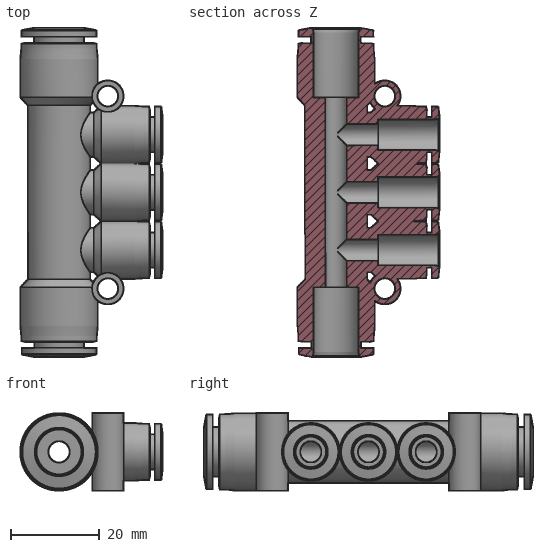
import cadquery as cq

run_half_length = 37.1
run_tube_radius = 7.05
run_body_radius = 8.75
run_body_end_radius = 8.5
run_neck_radius = 5.65
run_ring_radius = 8.45
run_cone_start = 19.6
run_body_start = 21.4
run_taper_start = 30.05
run_band_start = 32.35
run_body_end = 33.7
run_ring_width = 2.1
run_ring_face_rise = 0.5

branch_count = 3
branch_pitch = 13.0
branch_length = 23.4
branch_stub_radius = 5.05
branch_body_radius = 6.5
branch_body_end_radius = 6.4
branch_neck_radius = 4.0
branch_ring_radius = 6.4
branch_cone_start = 7.9
branch_body_start = 9.5
branch_taper_start = 17.1
branch_band_start = 19.1
branch_body_end = 20.5
branch_ring_width = 1.85
branch_ring_face_rise = 0.3

body_end_bevel_depth = 0.2
body_end_bevel_width = 0.9
ring_rim_chamfer = 0.2
ring_wall = 0.6
mouth_chamfer_depth = 0.4
mouth_chamfer_width = 0.3
lead_in_depth = 0.75
lead_in_width = 0.15
mouth_flare = mouth_chamfer_width + lead_in_width
bore_radius = 2.4
run_socket_radius = run_neck_radius - ring_wall
branch_socket_radius = branch_neck_radius - ring_wall

sleeve_x = 11.0
sleeve_y = 21.7
sleeve_radius = 3.55
sleeve_hole_radius = 2.3


def revolve_about(axis, profile):
    """Revolve (distance, radius) points around +X, +Y or -Y, starting at the origin."""
    x_direction, normal = {
        "+X": ((1, 0, 0), (0, 0, 1)),
        "+Y": ((0, 1, 0), (0, 0, 1)),
        "-Y": ((0, -1, 0), (0, 0, 1)),
    }[axis]
    plane = cq.Plane(origin=(0, 0, 0), xDir=x_direction, normal=normal)
    return cq.Workplane(plane).polyline(profile).close().revolve(360, (0, 0), (1, 0))


def run_outside(axis):
    """Solid half of the run: tube, cone, fitting body, neck and release ring."""
    ring_back = run_half_length - run_ring_width
    ring_face = run_half_length - run_ring_face_rise
    return revolve_about(axis, [
        (0, 0),
        (0, run_tube_radius),
        (run_cone_start, run_tube_radius),
        (run_body_start, run_body_radius),
        (run_taper_start, run_body_radius),
        (run_band_start, run_body_end_radius),
        (run_body_end - body_end_bevel_depth, run_body_end_radius),
        (run_body_end, run_body_end_radius - body_end_bevel_width),
        (run_body_end, run_neck_radius),
        (ring_back, run_neck_radius),
        (ring_back, run_ring_radius),
        (ring_face - ring_rim_chamfer, run_ring_radius),
        (ring_face, run_ring_radius - ring_rim_chamfer),
        (run_half_length, run_socket_radius + mouth_flare),
        (run_half_length, 0),
    ])


def branch_outside():
    """Solid branch: stub from the run axis, cone, fitting body, neck and release ring."""
    ring_back = branch_length - branch_ring_width
    ring_face = branch_length - branch_ring_face_rise
    return revolve_about("+X", [
        (0, 0),
        (0, branch_stub_radius),
        (branch_cone_start, branch_stub_radius),
        (branch_body_start, branch_body_radius),
        (branch_taper_start, branch_body_radius),
        (branch_band_start, branch_body_end_radius),
        (branch_body_end - body_end_bevel_depth, branch_body_end_radius),
        (branch_body_end, branch_body_end_radius - body_end_bevel_width),
        (branch_body_end, branch_neck_radius),
        (ring_back, branch_neck_radius),
        (ring_back, branch_ring_radius),
        (ring_face - ring_rim_chamfer, branch_ring_radius),
        (ring_face, branch_ring_radius - ring_rim_chamfer),
        (branch_length, branch_socket_radius + mouth_flare),
        (branch_length, 0),
    ])


def fitting_bore(axis, length, socket_start, socket_radius):
    """Bore from the run axis that widens into a tube socket with a flared, chamfered mouth."""
    lead_in_outer_end = length - mouth_chamfer_depth
    return revolve_about(axis, [
        (0, 0),
        (0, bore_radius),
        (socket_start, bore_radius),
        (socket_start, socket_radius),
        (lead_in_outer_end - lead_in_depth, socket_radius),
        (lead_in_outer_end, socket_radius + lead_in_width),
        (length, socket_radius + mouth_flare),
        (length, 0),
    ])


def upright_cylinder(radius, y):
    """Vertical cylinder at a mounting sleeve, spanning the height of the run bodies."""
    return (
        cq.Workplane("XY", origin=(sleeve_x, y, -run_body_radius))
        .circle(radius)
        .extrude(2 * run_body_radius)
    )


branch_positions = [(i - (branch_count - 1) / 2) * branch_pitch for i in range(branch_count)]

result = run_outside("+Y").union(run_outside("-Y"))
for y in branch_positions:
    result = result.union(branch_outside().translate((0, y, 0)))
for y in (-sleeve_y, sleeve_y):
    result = result.union(upright_cylinder(sleeve_radius, y))

for axis in ("+Y", "-Y"):
    result = result.cut(fitting_bore(axis, run_half_length, run_body_start, run_socket_radius))
branch_bore = fitting_bore("+X", branch_length, branch_body_start, branch_socket_radius)
for y in branch_positions:
    result = result.cut(branch_bore.translate((0, y, 0)))

for y in (-sleeve_y, sleeve_y):
    result = result.cut(upright_cylinder(sleeve_hole_radius, y))